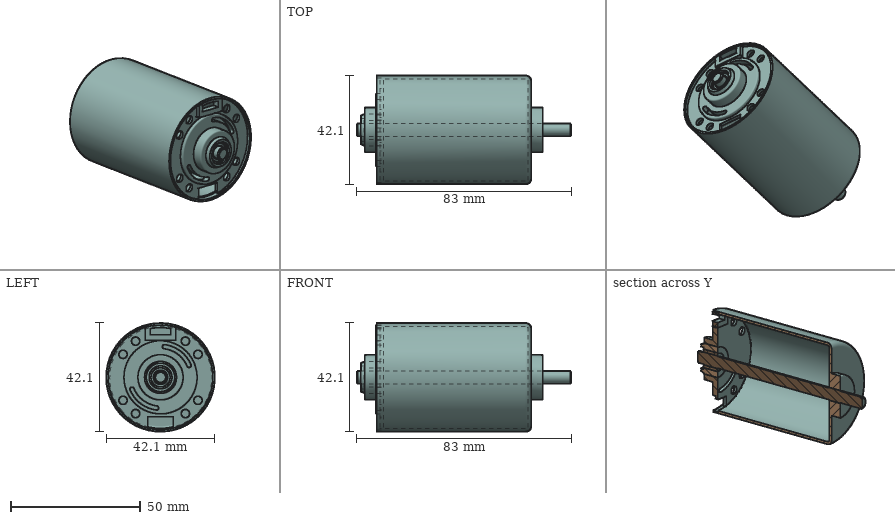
import cadquery as cq
import math


can_radius = 42.1 / 2
can_length = 59.8
can_wall = 1.3
can_inner_radius = can_radius - can_wall
can_corner_radius = 2.2
can_inner_corner_radius = can_corner_radius - can_wall
seat_radius = 20.25
front_boss_height = 4.5

boss_radius = 8.75
boss_fillet = 0.6

bell_face_x = 1.2
bell_thickness = 1.3
bell_back_x = bell_face_x + bell_thickness
disc_radius = 14.15
disc_face_x = -0.3
disc_fillet = 0.5
rear_boss_face_x = -4.65

hole_diameter = 3.2
hole_circle_radius = 17.0
hole_angles = (31.5, 55.5)

slot_circle_radius = 11.95
slot_width = 1.6
slot_start_angle = 97.4
slot_end_angle = 157.4

notch_width = 9.7
notch_top_z = -15.3

block_width = 11.8
block_bottom_z = 14.3
block_face_x = disc_face_x
window_width = 7.9
window_bottom_z = 16.4
window_top_radius = 19.25

ring_radius = 6.2
ring_nose_radius = 5.5
ring_face_x = -6.15
ring_recess_radius = 4.45
ring_recess_depth = 1.2

bush_radius = 3.7
bush_face_x = ring_face_x + ring_recess_depth
bush_chamfer = 0.25

shaft_radius = 2.5
shaft_rear_x = -7.75
shaft_length = 83.0
shaft_chamfer = 0.5


def cylinder_x(radius, start_x, end_x):
    """Cylinder about the X axis between two X positions."""
    return cq.Workplane("YZ").workplane(offset=start_x).circle(radius).extrude(end_x - start_x)


def box_x(width, bottom_z, top_z, start_x, end_x):
    """Box centred on Y = 0 between two heights and two X positions."""
    size = (end_x - start_x, width, top_z - bottom_z)
    return cq.Workplane("XY").box(*size, centered=(False, True, False)).translate((start_x, 0, bottom_z))


def block_blank():
    """Outline of the terminal block, rounded on top to fit the can's seat."""
    blank = box_x(block_width, block_bottom_z, can_radius, block_face_x, bell_back_x)
    return blank.intersect(cylinder_x(seat_radius, block_face_x, bell_back_x))


def polar_point(radius, angle):
    """Y and Z of a point at a radius and an angle from +Y towards +Z."""
    return (radius * math.cos(math.radians(angle)), radius * math.sin(math.radians(angle)))


def curved_slot(turn):
    """Round-ended slot along an arc about the X axis, cut through the raised disc."""
    start = slot_start_angle + turn
    end = slot_end_angle + turn
    middle = (start + end) / 2
    outer = slot_circle_radius + slot_width / 2
    inner = slot_circle_radius - slot_width / 2
    end_cap = math.degrees(slot_width / 2 / slot_circle_radius)
    return (
        cq.Workplane("YZ").workplane(offset=disc_face_x)
        .moveTo(*polar_point(outer, start))
        .threePointArc(polar_point(outer, middle), polar_point(outer, end))
        .threePointArc(polar_point(slot_circle_radius, end + end_cap), polar_point(inner, end))
        .threePointArc(polar_point(inner, middle), polar_point(inner, start))
        .threePointArc(polar_point(slot_circle_radius, start - end_cap), polar_point(outer, start))
        .close().extrude(bell_back_x - disc_face_x)
    )


def make_can():
    shell = cylinder_x(can_radius, 0, can_length).faces(">X").edges().fillet(can_corner_radius)
    cavity = cylinder_x(can_inner_radius, 0, can_length - can_wall)
    cavity = cavity.faces(">X").edges().fillet(can_inner_corner_radius)
    boss_end_x = can_length + front_boss_height
    boss = cylinder_x(boss_radius, can_length - can_wall, boss_end_x)
    boss = boss.faces(">X").edges().fillet(boss_fillet)
    seat = cylinder_x(seat_radius, 0, bell_back_x)
    bore = cylinder_x(shaft_radius, 0, boss_end_x)
    return shell.cut(cavity).union(boss).cut(seat).cut(bore)


def make_end_bell():
    plate = cylinder_x(seat_radius, bell_face_x, bell_back_x)
    disc = cylinder_x(disc_radius, disc_face_x, bell_back_x).faces("<X").edges().fillet(disc_fillet)
    boss = cylinder_x(boss_radius, rear_boss_face_x, bell_back_x).faces("<X").edges().fillet(boss_fillet)
    bell = plate.union(disc).union(boss)

    hole_points = []
    for angle in hole_angles:
        y, z = polar_point(hole_circle_radius, angle)
        hole_points += [(y, z), (-y, z), (y, -z), (-y, -z)]
    holes = (
        cq.Workplane("YZ").workplane(offset=bell_face_x)
        .pushPoints(hole_points).circle(hole_diameter / 2).extrude(bell_thickness)
    )
    bell = bell.cut(holes)

    for turn in (0, 180):
        bell = bell.cut(curved_slot(turn))

    notch = box_x(notch_width, -can_radius, notch_top_z, bell_face_x, bell_back_x)
    ring_bore = cylinder_x(ring_radius, rear_boss_face_x, bell_back_x)
    return bell.cut(notch).cut(block_blank()).cut(ring_bore)


def make_terminal_block():
    window = box_x(window_width, window_bottom_z, can_radius, block_face_x, bell_back_x)
    window = window.intersect(cylinder_x(window_top_radius, block_face_x, bell_back_x))
    return block_blank().cut(window)


def make_retainer_ring():
    profile = [
        (ring_face_x, bush_radius),
        (ring_face_x, ring_nose_radius),
        (rear_boss_face_x, ring_radius),
        (bell_back_x, ring_radius),
        (bell_back_x, bush_radius),
    ]
    ring = cq.Workplane("XY").polyline(profile).close().revolve(360, (0, 0, 0), (1, 0, 0))
    return ring.cut(cylinder_x(ring_recess_radius, ring_face_x, bush_face_x))


def make_bush():
    bore = cylinder_x(shaft_radius, bush_face_x, bell_back_x)
    bush = cylinder_x(bush_radius, bush_face_x, bell_back_x).cut(bore)
    bore_mouth = bush.faces("<X").edges(cq.selectors.RadiusNthSelector(0))
    return bore_mouth.chamfer(bush_chamfer)


def make_shaft():
    shaft = cylinder_x(shaft_radius, shaft_rear_x, shaft_rear_x + shaft_length)
    return shaft.faces("<X or >X").edges().chamfer(shaft_chamfer)


can = make_can()
end_bell = make_end_bell()
terminal_block = make_terminal_block()
retainer_ring = make_retainer_ring()
bush = make_bush()
shaft = make_shaft()

result = cq.Compound.makeCompound([
    can.val(),
    end_bell.val(),
    terminal_block.val(),
    retainer_ring.val(),
    bush.val(),
    shaft.val(),
])